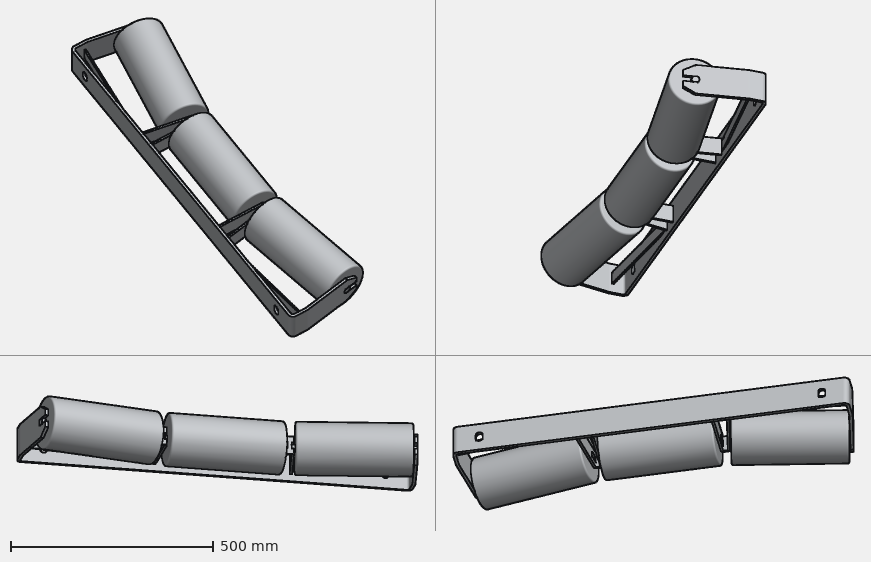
import cadquery as cq
import math

frame_length = 1000.0
frame_height = 82.0
frame_thickness = 8.0
corner_radius = 14.0
knee_radius = 20.0
end_top_y = 212.0
tip_width = 46.0
tip_taper_height = 31.0

tilt = 10.0

roller_diameter = 133.0
roller_length = 292.0
roller_end_radius = 5.0
support_offset = 149.0
middle_roller_y = 125.0
outer_roller_x = 322.0
outer_roller_y = 154.0

shaft_diameter = 20.0
shaft_width = 16.0

bracket_thickness = 6.0
bracket_height = 46.0
bracket_top_y = 150.0
bracket_bend_radius = 7.0

stay_height = 32.0
stay_top_y = 42.0
stay_thickness = 5.0
stay_inner_x = 197.0

mount_hole_x = 432.0
mount_hole_width = 18.0
mount_hole_height = 28.0

half_frame = frame_length / 2
inner_end_x = half_frame - frame_thickness
lean = math.tan(math.radians(tilt))
cos_tilt = math.cos(math.radians(tilt))
frame_outer_offset = support_offset + frame_thickness
bracket_far_offset = support_offset + bracket_thickness


def leaning_x(offset, y):
    """X at height y on the leaning plane at this offset along the outer roller axis."""
    return outer_roller_x + offset / cos_tilt - (y - outer_roller_y) * lean


def leaning_y(offset, x):
    """Height at which that leaning plane reaches x."""
    return outer_roller_y + (outer_roller_x + offset / cos_tilt - x) / lean


def extrude_across_z(points, height):
    """Solid with an outline in XY, centred on Z = 0."""
    return cq.Workplane("XY").polyline(points).close().extrude(height).translate((0, 0, -height / 2))


def nearest(x, y):
    """Selector for the edge along Z at this corner of an outline in XY."""
    return cq.selectors.NearestToPointSelector((x, y, 0))


def on_middle_axis(body):
    return body.translate((0, middle_roller_y, 0))


def on_outer_axis(body):
    """Move a body lying along X onto the axis of the right-hand outer roller."""
    return body.rotate((0, 0, 0), (0, 0, 1), tilt).translate((outer_roller_x, outer_roller_y, 0))


def mirrored(body):
    """The same body on the other side of the plane X = 0."""
    return body.mirror("YZ")


flat_z = shaft_width / 2
flat_end_y = math.sqrt((shaft_diameter / 2) ** 2 - flat_z ** 2)


def make_shaft(x_start, x_end):
    """Round bar along X with a flat on each Z side."""
    radius = shaft_diameter / 2
    return (
        cq.Workplane("YZ", origin=(x_start, 0, 0))
        .moveTo(flat_end_y, flat_z)
        .lineTo(-flat_end_y, flat_z)
        .threePointArc((-radius, 0), (-flat_end_y, -flat_z))
        .lineTo(flat_end_y, -flat_z)
        .threePointArc((radius, 0), (flat_end_y, flat_z))
        .close()
        .extrude(x_end - x_start)
    )


def make_slot(x_start, x_end):
    """Open slot cutter that fits under the shaft and leaves through the top of any support."""
    slot_top = end_top_y - middle_roller_y
    return (
        cq.Workplane("YZ", origin=(x_start, 0, 0))
        .moveTo(slot_top, flat_z)
        .lineTo(-flat_end_y, flat_z)
        .threePointArc((-shaft_diameter / 2, 0), (-flat_end_y, -flat_z))
        .lineTo(slot_top, -flat_z)
        .close()
        .extrude(x_end - x_start)
    )


def make_roller(left_support, right_support):
    """Roller along X; its shaft ends flush with the outside of both supports."""
    shell = (
        cq.Workplane("YZ", origin=(-roller_length / 2, 0, 0))
        .circle(roller_diameter / 2)
        .extrude(roller_length)
        .faces("|X")
        .edges()
        .fillet(roller_end_radius)
    )
    return shell.union(make_shaft(-support_offset - left_support, support_offset + right_support))


def make_frame_half():
    knee_y = leaning_y(frame_outer_offset, half_frame)
    inner_knee_y = leaning_y(support_offset, inner_end_x)
    tip_drop = frame_thickness * math.sin(math.radians(tilt))
    tip_x = leaning_x(frame_outer_offset, end_top_y)
    half = extrude_across_z(
        [
            (0, 0),
            (half_frame, 0),
            (half_frame, knee_y),
            (tip_x, end_top_y),
            (tip_x - frame_thickness * cos_tilt, end_top_y - tip_drop),
            (inner_end_x, inner_knee_y),
            (inner_end_x, frame_thickness),
            (0, frame_thickness),
        ],
        frame_height,
    )
    bends = [
        (half_frame, 0, corner_radius),
        (inner_end_x, frame_thickness, corner_radius - frame_thickness),
        (half_frame, knee_y, knee_radius),
        (inner_end_x, inner_knee_y, knee_radius - frame_thickness),
    ]
    for x, y, radius in bends:
        half = half.edges(nearest(x, y)).fillet(radius)
    return half.cut(tip_tapers()).cut(on_outer_axis(make_slot(support_offset, frame_outer_offset)))


def tip_tapers():
    """Cutters that narrow the end of the strip from both sides."""
    tapers = cq.Workplane("YZ")
    for side in (-1, 1):
        tapers = (
            tapers.moveTo(end_top_y - tip_taper_height, side * frame_height / 2)
            .lineTo(end_top_y, side * frame_height / 2)
            .lineTo(end_top_y, side * tip_width / 2)
            .close()
        )
    return tapers.extrude(half_frame)


def make_frame():
    half = make_frame_half()
    mount_holes = (
        cq.Workplane("XZ")
        .pushPoints([(-mount_hole_x, 0), (mount_hole_x, 0)])
        .slot2D(mount_hole_height, mount_hole_width, 90)
        .extrude(-frame_thickness)
    )
    return half.union(mirrored(half)).cut(mount_holes)


def make_bracket():
    under_top_y = bracket_top_y - bracket_thickness
    middle_face_x = support_offset
    middle_back_x = bracket_far_offset
    top_corners = [
        (middle_face_x, bracket_top_y),
        (leaning_x(-support_offset, bracket_top_y), bracket_top_y),
    ]
    under_corners = [
        (leaning_x(-bracket_far_offset, under_top_y), under_top_y),
        (middle_back_x, under_top_y),
    ]
    bracket = extrude_across_z(
        [
            (middle_face_x, frame_thickness),
            *top_corners,
            (leaning_x(-support_offset, frame_thickness), frame_thickness),
            (leaning_x(-bracket_far_offset, frame_thickness), frame_thickness),
            *under_corners,
            (middle_back_x, frame_thickness),
        ],
        bracket_height,
    )
    inner_radius = bracket_bend_radius - bracket_thickness
    for corners, radius in ((top_corners, bracket_bend_radius), (under_corners, inner_radius)):
        for x, y in corners:
            bracket = bracket.edges(nearest(x, y)).fillet(radius)
    middle_slot = on_middle_axis(make_slot(middle_face_x, middle_back_x))
    outer_slot = on_outer_axis(make_slot(-bracket_far_offset, -support_offset))
    return bracket.cut(middle_slot).cut(outer_slot)


def make_stay():
    rise = stay_top_y - frame_thickness
    run = inner_end_x - stay_inner_x
    return extrude_across_z(
        [
            (stay_inner_x, frame_thickness),
            (inner_end_x, stay_top_y),
            (inner_end_x, stay_top_y - stay_thickness),
            (stay_inner_x + stay_thickness * run / rise, frame_thickness),
        ],
        stay_height,
    )


frame = make_frame()
middle_roller = on_middle_axis(make_roller(bracket_thickness, bracket_thickness))
right_roller = on_outer_axis(make_roller(bracket_thickness, frame_thickness))

bodies = [frame.solids().val(), middle_roller.solids().val()]
for right_body in (right_roller, make_bracket(), make_stay()):
    bodies += [right_body.solids().val(), mirrored(right_body).solids().val()]

result = cq.Compound.makeCompound(bodies)